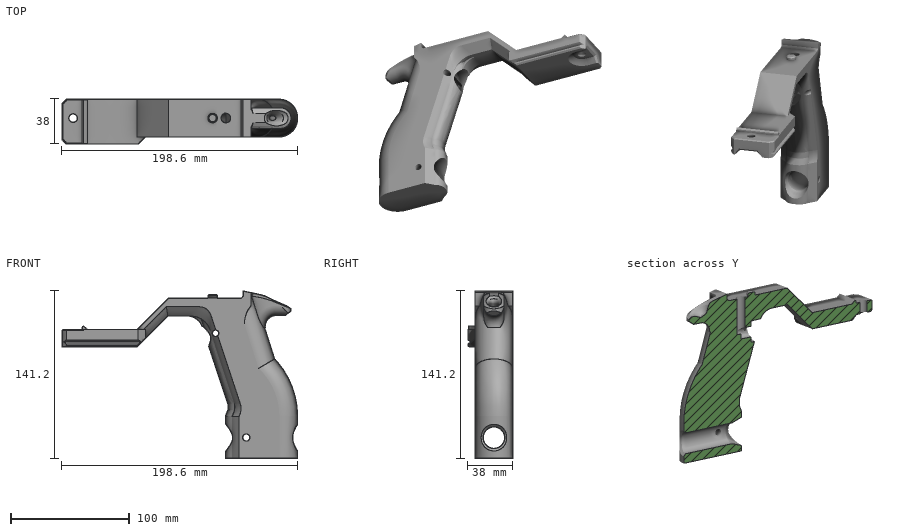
import cadquery as cq
import math

LENGTH = 198.61
HEIGHT = 141.21
HALF_WIDTH = 16.0
REACH = 500.0

FORE_BOTTOM = 94.0
FORE_TOP = 108.7
FORE_SIDE = -22.0
FORE_CORNER = 3.7
SLOPE_START = 63.2
WIDE_END = 70.2
PAD_LENGTH = 18.0
PAD_CHAMFER = 0.9
RIB_START = 16.8
RIB_PEAK = 18.0
RIB_END = 21.3
RIB_SHOULDER = 110.4
RIB_TOP = 111.7
RIB_INSET = 0.6
FORE_HOLE_X = 9.3
FORE_HOLE_DIAMETER = 7.0
GROOVE_TOP = 99.9
GROOVE_ROOT = 98.3
GROOVE_BOTTOM = 96.4
GROOVE_DEPTH = 2.4
RAIL_CHAMFER = 1.2
CHANNEL_DEPTH = 4.2
CHANNEL_ROOF_HALF = 7.4
CHANNEL_MOUTH_FLARE = 1.6

DECK = 135.1
ARM_UNDERSIDE = 120.0
ARM_CHAMFER_HEIGHT = 7.9
SLOPE_CHAMFER_HEIGHT = 9.2
PIN_X = 126.9
PIN_DIAMETER = 8.0
PIN_HEIGHT = 3.0
PIN_CHAMFER = 0.9
DECK_HOLE_X = 138.1
DECK_HOLE_DIAMETER = 8.0
STEP_X = 152.6
STEP_CHAMFER = 1.7
CREST_END = 159.3
CREST_END_Z = 139.8

SHOULDER_HALF = 10.0
NOSE_FLAT_HALF = 1.0
NOSE_DEPTH = 5.7
BLOCK_FRONT = 137.6
BLOCK_TOP = 35.4
BLOCK_CHAMFER = 5.9
NECK_X = 139.7
NECK_Z = 46.0
NECK_MIDDLE_X = 139.7
NECK_MIDDLE_Z = 40.8
FRONT_LEAN = 0.332
GRIP_CHAMFER = 4.9
SIDE_ARCH_RADIUS = 10.5
SHOULDER_ARCH_RADIUS = 17.0
NOSE_ARCH_RADIUS = 13.0
GUSSET_HALF = 6.0
NOSE_EMBED = 4.0
RUNOUT_TOP_Z = 128.7
RUNOUT_MIDDLE = (155.3, 122.0)
RUNOUT_FOOT = (153.8, 113.0)
BACK_BEND_Z = BLOCK_TOP
BACK_KNEE_X = 179.2
BACK_KNEE_Z = 83.9
BACK_TOP_X = 161.5
BACK_TOP_Z = 139.4
BACK_DEPTH = 15.2
BACK_EMBED = 6.0
MITRE_OVERRUN = 30.0
BORE_Z = 17.5
BORE_DIAMETER = 18.0
BORE_FLARE = 3.3
BORE_FLARE_LENGTH = 10.0
BORE_CHAMFER = 2.2
CROSS_HOLES = ((129.4, 105.5, 5.25), (155.3, 17.6, 5.84))
FINGER_BORE_Z = 103.5
FINGER_BORE_DIAMETER = 18.41
FINGER_BORE_START = 105.0
FINGER_BORE_END = 127.5
WIRE_HOLE_DIAMETER = 9.0

HORN_HALF = 8.6
HORN_TIP_X = 193.0
HORN_TIP_Z = 124.3
HORN_UNDERSIDE = 120.5
HORN_FILLET = 8.0
HORN_TIP_HEIGHT = 1.8
HORN_TOP_MIDDLE = (177.0, 134.8)
HORN_LIP_X = 188.0
HORN_ARCH_X = 180.7
HORN_ARCH_MIDDLE = (173.8, 117.6)
HORN_ROOT = (171.3, 110.5)
CROWN_STEPS = ((3.9, 0.0), (6.9, 1.4), (HORN_HALF, 2.8))
CROWN_TIP_SHARE = 0.4
DISH_CENTER = (180.3, 0, 132.7)
DISH_FALL = 25.6
DISH_OUTER = (14.0, 7.5)
DISH_INNER = (7.8, 5.5)
DISH_FLOOR = (3.0, 2.0)
DISH_RELIEF = 1.2
DISH_LIP_DEPTH = 1.6
DISH_DEPTH = 6.5


def front_x(z, setback=0.0):
    """X of the leaning grip front at height z, set back from the nose line."""
    return NECK_X - FRONT_LEAN * (z - NECK_Z) + setback


def arch_points(setback, underside, radius):
    """Start, middle and end of the arc from the arm underside into the grip front."""
    lean = math.atan(FRONT_LEAN)
    turn = math.pi / 2 - lean
    tangent = radius * math.tan(turn / 2)
    corner_x = front_x(underside, setback)
    start = (corner_x - tangent, underside)
    middle = (
        start[0] + radius * math.sin(turn / 2),
        underside - radius * (1 - math.cos(turn / 2)),
    )
    end = (corner_x + tangent * math.sin(lean), underside - tangent * math.cos(lean))
    return start, middle, end


def outline(y, setback, block_setback, rise, slope_rise, arch_radius):
    """Closed XZ wire of arm and grip in the plane Y = y.

    The front of the grip is set back from the nose line; rise and slope_rise lift the
    underside of the level and the sloping part of the arm.
    """
    underside = ARM_UNDERSIDE + rise
    arch_start, arch_middle, arch_end = arch_points(setback, underside, arch_radius)
    neck_setback = (setback + block_setback) / 2
    return (
        cq.Workplane("XZ", origin=(0, y, 0))
        .moveTo(SLOPE_START, FORE_BOTTOM + slope_rise)
        .lineTo(SLOPE_START + underside - FORE_BOTTOM - slope_rise, underside)
        .lineTo(*arch_start)
        .threePointArc(arch_middle, arch_end)
        .lineTo(front_x(NECK_Z, setback), NECK_Z)
        .threePointArc(
            (NECK_MIDDLE_X + neck_setback, NECK_MIDDLE_Z),
            (BLOCK_FRONT + block_setback, BLOCK_TOP),
        )
        .lineTo(BLOCK_FRONT + block_setback, 0)
        .lineTo(LENGTH, 0)
        .lineTo(LENGTH, HEIGHT)
        .lineTo(STEP_X, HEIGHT)
        .lineTo(STEP_X, DECK + STEP_CHAMFER)
        .lineTo(STEP_X - STEP_CHAMFER, DECK)
        .lineTo(SLOPE_START + DECK - FORE_TOP, DECK)
        .lineTo(SLOPE_START, FORE_TOP)
        .close()
        .wire()
        .val()
    )


def side_outline(y):
    """Outline on the flat side faces."""
    return outline(
        y,
        NOSE_DEPTH + GRIP_CHAMFER,
        NOSE_DEPTH + BLOCK_CHAMFER,
        ARM_CHAMFER_HEIGHT,
        SLOPE_CHAMFER_HEIGHT,
        SIDE_ARCH_RADIUS,
    )


def shoulder_outline(y):
    """Outline where the front chamfer meets the nose."""
    return outline(y, NOSE_DEPTH, NOSE_DEPTH, 0, 0, SHOULDER_ARCH_RADIUS)


def slab(wire, depth):
    """Solid from a closed XZ wire, extruded by depth towards -Y."""
    return cq.Workplane(cq.Solid.extrudeLinear(wire, [], cq.Vector(0, -depth, 0)))


def extruded_xz(points, y_from, y_to):
    """Prism of a closed XZ polygon between two Y values."""
    return cq.Workplane("XZ", origin=(0, y_to, 0)).polyline(points).close().extrude(y_to - y_from)


def nose_section(x, z):
    """Plan section of the rounded nose, its flat strip at x, closed well inside the grip."""
    run = SHOULDER_HALF - NOSE_FLAT_HALF
    radius = (run**2 + NOSE_DEPTH**2) / (2 * NOSE_DEPTH)
    half_sweep = math.asin(run / radius) / 2
    middle_x = x + radius * (1 - math.cos(half_sweep))
    middle_y = NOSE_FLAT_HALF + radius * math.sin(half_sweep)
    return (
        cq.Workplane("XY", origin=(0, 0, z))
        .moveTo(x, -NOSE_FLAT_HALF)
        .lineTo(x, NOSE_FLAT_HALF)
        .threePointArc((middle_x, middle_y), (x + NOSE_DEPTH, SHOULDER_HALF))
        .lineTo(x + NOSE_DEPTH + NOSE_EMBED, SHOULDER_HALF)
        .lineTo(x + NOSE_DEPTH + NOSE_EMBED, -SHOULDER_HALF)
        .lineTo(x + NOSE_DEPTH, -SHOULDER_HALF)
        .threePointArc((middle_x, -middle_y), (x, -NOSE_FLAT_HALF))
        .close()
        .wire()
        .val()
    )


def nose():
    """Rounded ridge down the front of the grip, faired into the arm by an arch."""
    stations = (
        (BLOCK_FRONT, 0),
        (BLOCK_FRONT, BLOCK_TOP),
        (NECK_MIDDLE_X, NECK_MIDDLE_Z),
        (NECK_X, NECK_Z),
        (front_x(DECK), DECK),
    )
    ridge = None
    for lower, upper in zip(stations, stations[1:]):
        path = cq.Vector(upper[0] - lower[0], 0, upper[1] - lower[1])
        piece = cq.Workplane(cq.Solid.extrudeLinear(nose_section(*lower), [], path))
        ridge = piece if ridge is None else ridge.union(piece)
    return ridge.union(arch_gusset())


def arch_gusset():
    """Rounded fillet in the corner between the nose line and the arm underside."""
    start, middle, end = arch_points(0, ARM_UNDERSIDE, NOSE_ARCH_RADIUS)
    return (
        cq.Workplane("XZ", origin=(0, GUSSET_HALF, 0))
        .moveTo(*start)
        .threePointArc(middle, end)
        .lineTo(end[0] + NOSE_EMBED, end[1])
        .lineTo(end[0] + NOSE_EMBED, DECK)
        .lineTo(start[0], DECK)
        .close()
        .extrude(2 * GUSSET_HALF)
    )


def arm_and_grip():
    """Arm and grip with chamfered front edges, before the back is rounded."""
    body = slab(shoulder_outline(SHOULDER_HALF), 2 * SHOULDER_HALF)
    for side in (-1, 1):
        wires = [shoulder_outline(side * SHOULDER_HALF), side_outline(side * HALF_WIDTH)]
        body = body.union(cq.Workplane(cq.Solid.makeLoft(wires, True)))
    return body.union(nose())


def back_section(plane):
    """Round-backed plan section whose rearmost point is the plane origin."""
    inner = -BACK_DEPTH - BACK_EMBED
    return (
        cq.Workplane(plane)
        .moveTo(inner, -HALF_WIDTH)
        .lineTo(-BACK_DEPTH, -HALF_WIDTH)
        .threePointArc((0, 0), (-BACK_DEPTH, HALF_WIDTH))
        .lineTo(inner, HALF_WIDTH)
        .close()
    )


def back_envelope():
    """Full-width space of arm and grip, bounded by the rounded back and the sloping crest."""
    run = LENGTH - BACK_KNEE_X
    height = BACK_KNEE_Z - BACK_BEND_Z
    radius = (run**2 + height**2) / (2 * run)
    sweep = math.asin(height / radius)
    lean = math.atan((BACK_KNEE_X - BACK_TOP_X) / (BACK_TOP_Z - BACK_KNEE_Z))
    center_x = LENGTH - radius

    mitre = (sweep + lean) / 2
    mitre_line = [
        (BACK_KNEE_X + reach * math.cos(mitre), BACK_KNEE_Z + reach * math.sin(mitre))
        for reach in (REACH, -REACH)
    ]
    above_mitre = extruded_xz([*mitre_line, (-REACH, REACH)], -HALF_WIDTH, HALF_WIDTH)

    lower = back_section(cq.Plane((LENGTH, 0, 0))).extrude(BACK_BEND_Z)
    curved = back_section(cq.Plane((LENGTH, 0, BACK_BEND_Z))).revolve(
        math.degrees(sweep) + MITRE_OVERRUN, (-radius, 0), (-radius, -1)
    )
    up_the_back = (-math.sin(lean), 0, math.cos(lean))
    across_the_back = (math.cos(lean), 0, math.sin(lean))
    straight_start = (
        BACK_KNEE_X + HALF_WIDTH * math.sin(lean),
        0,
        BACK_KNEE_Z - HALF_WIDTH * math.cos(lean),
    )
    straight = back_section(cq.Plane(straight_start, across_the_back, up_the_back)).extrude(HEIGHT)

    flat_edge = BACK_DEPTH + BACK_EMBED / 2
    inner_radius = radius - flat_edge
    front = (
        cq.Workplane("XZ", origin=(0, HALF_WIDTH, 0))
        .moveTo(0, 0)
        .lineTo(center_x + inner_radius, 0)
        .lineTo(center_x + inner_radius, BACK_BEND_Z)
        .threePointArc(
            (
                center_x + inner_radius * math.cos(sweep / 2),
                BACK_BEND_Z + inner_radius * math.sin(sweep / 2),
            ),
            (center_x + inner_radius * math.cos(sweep), BACK_BEND_Z + inner_radius * math.sin(sweep)),
        )
        .lineTo(BACK_TOP_X - flat_edge / math.cos(lean), BACK_TOP_Z)
        .lineTo(BACK_TOP_X - flat_edge / math.cos(lean), HEIGHT)
        .lineTo(0, HEIGHT)
        .close()
        .extrude(2 * HALF_WIDTH)
    )
    square_top = (
        cq.Workplane("XZ", origin=(0, HALF_WIDTH, 0))
        .moveTo(BACK_TOP_X - flat_edge, HEIGHT)
        .lineTo(CREST_END, HEIGHT)
        .lineTo(CREST_END, RUNOUT_TOP_Z)
        .threePointArc(RUNOUT_MIDDLE, RUNOUT_FOOT)
        .lineTo(BACK_TOP_X - flat_edge, RUNOUT_FOOT[1])
        .close()
        .extrude(2 * HALF_WIDTH)
    )
    above_crest = extruded_xz(
        [(STEP_X, HEIGHT), (CREST_END, CREST_END_Z), (BACK_TOP_X, BACK_TOP_Z), (LENGTH, HEIGHT)],
        -HALF_WIDTH,
        HALF_WIDTH,
    )
    space = front.union(lower).union(curved.cut(above_mitre))
    return space.union(straight.intersect(above_mitre)).union(square_top).cut(above_crest)


def fore_end():
    """Wide platform with chamfered corners, a cross rib on top and rail grooves."""
    rise = WIDE_END - SLOPE_START
    profile = [
        (0, FORE_BOTTOM),
        (SLOPE_START, FORE_BOTTOM),
        (WIDE_END, FORE_BOTTOM + rise),
        (WIDE_END, FORE_TOP),
        (0, FORE_TOP),
    ]
    narrowing = -HALF_WIDTH - FORE_SIDE
    plan = [
        (FORE_CORNER, FORE_SIDE),
        (WIDE_END - narrowing, FORE_SIDE),
        (WIDE_END, -HALF_WIDTH),
        (WIDE_END, HALF_WIDTH),
        (FORE_CORNER, HALF_WIDTH),
        (0, HALF_WIDTH - FORE_CORNER),
        (0, FORE_SIDE + FORE_CORNER),
    ]
    plan_prism = cq.Workplane("XY").polyline(plan).close().extrude(REACH)
    body = extruded_xz(profile, FORE_SIDE, HALF_WIDTH).intersect(plan_prism)
    for side, wall in ((-1, FORE_SIDE), (1, HALF_WIDTH)):
        body = body.cut(rail_groove(wall, side))

    pad_space = cq.Workplane("XY").box(PAD_LENGTH, REACH, REACH, centered=(False, True, True))
    pad = body.intersect(pad_space).faces(">Z").edges("not >X").chamfer(PAD_CHAMFER)
    body = body.cut(pad_space).union(pad)
    rib = [
        (RIB_START, FORE_TOP - PAD_CHAMFER),
        (RIB_END, FORE_TOP - PAD_CHAMFER),
        (RIB_END, FORE_TOP),
        (RIB_PEAK, RIB_TOP),
        (RIB_START, RIB_SHOULDER),
    ]
    return body.union(extruded_xz(rib, FORE_SIDE + RIB_INSET, HALF_WIDTH - RIB_INSET))


def rail_groove(wall, side):
    """Cutter for the V groove and the bottom chamfer along one side wall."""
    groove = [
        (wall + side, GROOVE_TOP + 1),
        (wall, GROOVE_TOP),
        (wall - side * GROOVE_DEPTH, GROOVE_ROOT),
        (wall, GROOVE_BOTTOM),
        (wall, FORE_BOTTOM + RAIL_CHAMFER),
        (wall - side * RAIL_CHAMFER, FORE_BOTTOM),
        (wall + side, FORE_BOTTOM),
    ]
    return cq.Workplane("YZ").polyline(groove).close().extrude(WIDE_END)


def channel():
    """Recess under the platform, open to the front and ending in a cone around the hole."""
    foot_half = CHANNEL_ROOF_HALF + CHANNEL_DEPTH

    def section(x, flare):
        roof = CHANNEL_ROOF_HALF + flare / 2
        top = FORE_BOTTOM + CHANNEL_DEPTH + flare
        foot = foot_half + flare / 2
        return (
            cq.Workplane("YZ", origin=(x, 0, 0))
            .polyline([(-foot, FORE_BOTTOM), (-roof, top), (roof, top), (foot, FORE_BOTTOM)])
            .close()
            .wire()
            .val()
        )

    mouth = cq.Solid.makeLoft([section(0, CHANNEL_MOUTH_FLARE), section(CHANNEL_MOUTH_FLARE, 0)], True)
    run = cq.Solid.extrudeLinear(section(0, 0), [], cq.Vector(FORE_HOLE_X, 0, 0))
    end = cq.Solid.makeCone(
        foot_half, CHANNEL_ROOF_HALF, CHANNEL_DEPTH, cq.Vector(FORE_HOLE_X, 0, FORE_BOTTOM)
    )
    return cq.Workplane(run).union(cq.Workplane(mouth)).union(cq.Workplane(end))


def horn():
    """Thumb rest behind the crest: flat sides, rounded underside, dished top."""
    side = (
        cq.Workplane("XZ", origin=(0, HORN_HALF, 0))
        .moveTo(CREST_END, CREST_END_Z)
        .threePointArc(HORN_TOP_MIDDLE, (HORN_TIP_X, HORN_TIP_Z + HORN_TIP_HEIGHT))
        .lineTo(HORN_TIP_X, HORN_TIP_Z)
        .lineTo(HORN_LIP_X, HORN_UNDERSIDE)
        .lineTo(HORN_ARCH_X, HORN_UNDERSIDE)
        .threePointArc(HORN_ARCH_MIDDLE, HORN_ROOT)
        .lineTo(CREST_END, HORN_ROOT[1])
        .close()
        .extrude(2 * HORN_HALF)
    )
    round_start = HORN_TIP_X - HORN_HALF
    plan = (
        cq.Workplane("XY")
        .moveTo(CREST_END, -HORN_HALF)
        .lineTo(round_start, -HORN_HALF)
        .threePointArc((HORN_TIP_X, 0), (round_start, HORN_HALF))
        .lineTo(CREST_END, HORN_HALF)
        .close()
        .extrude(REACH)
    )
    lower = cq.selectors.BoxSelector(
        (HORN_ROOT[0] - 1, -REACH, HORN_ROOT[1] + 1), (HORN_TIP_X - 1, REACH, HORN_UNDERSIDE + 1)
    )
    body = side.edges(lower).edges("not |Y").fillet(HORN_FILLET)
    return body.intersect(plan).intersect(horn_crown()).cut(dish_lip()).cut(dish_hollow())


def crown_outline(y, drop):
    """XZ wire under the horn's top curve, lowered by drop at its root and less at its tip."""
    tip_drop = drop * CROWN_TIP_SHARE
    return (
        cq.Workplane("XZ", origin=(0, y, 0))
        .moveTo(CREST_END, CREST_END_Z - drop)
        .threePointArc(
            (HORN_TOP_MIDDLE[0], HORN_TOP_MIDDLE[1] - (drop + tip_drop) / 2),
            (HORN_TIP_X, HORN_TIP_Z + HORN_TIP_HEIGHT - tip_drop),
        )
        .lineTo(HORN_TIP_X, HORN_ROOT[1])
        .lineTo(CREST_END, HORN_ROOT[1])
        .close()
        .wire()
        .val()
    )


def horn_crown():
    """Space under the horn's top, which falls away in two facets towards each side."""
    crown = slab(crown_outline(CROWN_STEPS[0][0], 0), 2 * CROWN_STEPS[0][0])
    for side in (-1, 1):
        for (inner_y, inner_drop), (outer_y, outer_drop) in zip(CROWN_STEPS, CROWN_STEPS[1:]):
            wires = [crown_outline(side * inner_y, inner_drop), crown_outline(side * outer_y, outer_drop)]
            crown = crown.union(cq.Workplane(cq.Solid.makeLoft(wires, True)))
    return crown


def dish_ovals(top, top_half_axes, bottom, bottom_half_axes):
    """Tapered oval solid between two levels measured along the normal of the horn's top."""
    fall = math.radians(DISH_FALL)
    surface = cq.Plane(
        DISH_CENTER, (math.cos(fall), 0, -math.sin(fall)), (math.sin(fall), 0, math.cos(fall))
    )
    return (
        cq.Workplane(surface)
        .workplane(offset=top)
        .ellipse(*top_half_axes)
        .workplane(offset=bottom - top)
        .ellipse(*bottom_half_axes)
        .loft()
    )


def dish_lip():
    """Shallow flared rim of the thumb dish."""
    return dish_ovals(DISH_RELIEF, DISH_OUTER, -DISH_LIP_DEPTH, DISH_INNER)


def dish_hollow():
    """Deeper middle of the thumb dish."""
    return dish_ovals(-DISH_LIP_DEPTH, DISH_INNER, -DISH_DEPTH, DISH_FLOOR)


def cylinder(start, direction, diameter, length):
    """Round solid from a start point along a direction."""
    return cq.Workplane(
        cq.Solid.makeCylinder(diameter / 2, length, cq.Vector(*start), cq.Vector(*direction))
    )


def bored(grip):
    """Grip with the cross bore through its foot, flared in front and chamfered behind."""
    radius = BORE_DIAMETER / 2
    front = (BLOCK_FRONT, 0, BORE_Z)
    bore = cylinder(front, (1, 0, 0), BORE_DIAMETER, LENGTH - BLOCK_FRONT)
    flare = cq.Solid.makeCone(
        radius + BORE_FLARE, radius, BORE_FLARE_LENGTH, cq.Vector(*front), cq.Vector(1, 0, 0)
    )
    rear_rim = cq.selectors.BoxSelector(
        (LENGTH - BACK_DEPTH, -radius, BORE_Z - radius), (LENGTH, radius, BORE_Z + radius)
    )
    return grip.cut(bore).edges(rear_rim).chamfer(BORE_CHAMFER).cut(cq.Workplane(flare))


def drillings():
    """Cross holes, platform hole, and the deck hole with the finger bore it opens into."""
    fore_height = FORE_TOP - FORE_BOTTOM
    holes = cylinder((FORE_HOLE_X, 0, FORE_BOTTOM), (0, 0, 1), FORE_HOLE_DIAMETER, fore_height)
    for x, z, diameter in CROSS_HOLES:
        holes = holes.union(cylinder((x, HALF_WIDTH, z), (0, -1, 0), diameter, 2 * HALF_WIDTH))
    drop = DECK - FINGER_BORE_Z
    holes = holes.union(cylinder((DECK_HOLE_X, 0, DECK), (0, 0, -1), DECK_HOLE_DIAMETER, drop))
    pocket_start = (FINGER_BORE_START, 0, FINGER_BORE_Z)
    pocket_length = FINGER_BORE_END - FINGER_BORE_START
    wire_length = DECK_HOLE_X - FINGER_BORE_START
    holes = holes.union(cylinder(pocket_start, (1, 0, 0), FINGER_BORE_DIAMETER, pocket_length))
    return holes.union(cylinder(pocket_start, (1, 0, 0), WIRE_HOLE_DIAMETER, wire_length))


def locating_pin():
    """Chamfered pin standing on the deck."""
    pin = cylinder((PIN_X, 0, DECK - PIN_HEIGHT), (0, 0, 1), PIN_DIAMETER, 2 * PIN_HEIGHT)
    return pin.faces(">Z").chamfer(PIN_CHAMFER)


grip = bored(arm_and_grip().intersect(back_envelope()))
frame = grip.union(horn()).union(fore_end()).union(locating_pin())
result = frame.cut(channel()).cut(drillings())